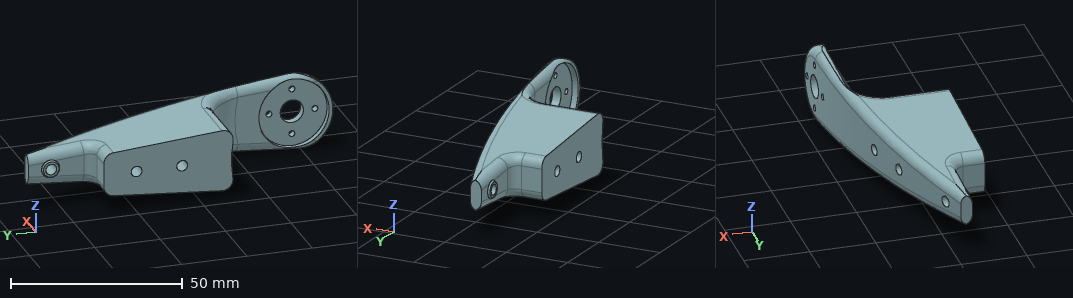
import cadquery as cq
import math

length = 99.0
depth = 32.4
end_radius = 11.93
tip_half_width = 4.9
back_edge_radius = 2.8
inner_edge_radius = 3.2
tip_y = length - end_radius

overrun = 9.9
stock_x = depth + overrun
stock_tip_y = tip_y + overrun
tolerance = 0.01
stock_end_y = -end_radius - overrun

tip_back_x = 13.2
back_drop = depth - tip_back_x
back_radius = (length**2 + back_drop**2) / (2 * back_drop)

tip_face_x = 9.6
end_face_x = 27.4
block_tip_y = tip_y - 20.0
block_end_y = tip_y - 59.1
tip_corner_radius = 3.0
end_corner_radius = 9.9
end_notch_radius = 41.6

seat_diameter = 21.5
seat_depth = 2.0
bore_diameter = 7.0
pin_hole_diameter = 1.8
pin_circle_radius = 7.0

screw_hole_diameter = 3.3
screw_hole_ys = (tip_y - 30.0, tip_y - 43.9)
boss_y = tip_y - 6.8
boss_diameter = 5.5
boss_top_diameter = 4.8
boss_height = 0.6

tip_distance = math.hypot(tip_y, tip_half_width)
tangent_angle = math.atan2(tip_half_width, tip_y) + math.acos(end_radius / tip_distance)
tangent_y = end_radius * math.cos(tangent_angle)
tangent_z = end_radius * math.sin(tangent_angle)
side_slope = (tangent_z - tip_half_width) / (tip_y - tangent_y)


def x_cylinder(diameter, y, z=0.0, start_x=0.0, height=stock_x):
    """Cylinder along X, starting at start_x."""
    return cq.Workplane("YZ", origin=(start_x, y, z)).circle(diameter / 2).extrude(height)


def half_width(y):
    """Half of the arm's tapered width at a place along Y."""
    return tip_half_width + side_slope * (tip_y - y)


def tapered_prism(start_y):
    """Straight-sided tapered outline from start_y to beyond the tip, as a prism along X."""
    start_z = half_width(start_y)
    stop_z = half_width(stock_tip_y)
    return (
        cq.Workplane("YZ")
        .polyline([(start_y, -start_z), (start_y, start_z), (stock_tip_y, stop_z), (stock_tip_y, -stop_z)])
        .close()
        .extrude(stock_x)
    )


def back_x(y):
    """X of the curved back at a place along Y; it is highest at the round end."""
    return depth - back_radius + math.sqrt(back_radius**2 - (y + end_radius) ** 2)


def back_shape():
    """Round-ended arm with the curved back and its rounded rim."""
    outline = tapered_prism(tangent_y).union(x_cylinder(2 * end_radius, 0))
    below_back = (
        cq.Workplane("XY")
        .moveTo(0, stock_tip_y)
        .lineTo(back_x(stock_tip_y), stock_tip_y)
        .threePointArc((back_x(0), 0), (back_x(stock_end_y), stock_end_y))
        .lineTo(0, stock_end_y)
        .close()
        .extrude(2 * end_radius, both=True)
    )
    body = outline.intersect(below_back)
    back_face = body.faces(cq.selectors.NearestToPointSelector((back_x(tip_y / 2), tip_y / 2, 0)))
    rim = [edge for edge in back_face.edges().vals() if edge.Center().y < tip_y]
    return body.newObject(rim).fillet(back_edge_radius)


def tip_notch():
    """Space beside the block on the tip side, with a rounded inner corner."""
    notch_length = stock_tip_y + overrun - block_tip_y
    return (
        cq.Workplane("XY")
        .box(tip_face_x + overrun, notch_length, 4 * end_radius, centered=(False, False, True))
        .translate((-overrun, block_tip_y, 0))
        .edges(">X and <Y")
        .fillet(tip_corner_radius)
    )


def end_notch():
    """Large cylindrical space beside the block on the round-end side, with a rounded rim."""
    return (
        x_cylinder(2 * end_notch_radius, block_end_y - end_notch_radius, 0, -overrun, end_face_x + overrun)
        .edges(">X")
        .fillet(end_corner_radius)
    )


def inner_shape():
    """Tapered stock with the stepped inner side, rounded along the step's two edges."""
    body = tapered_prism(stock_end_y).cut(tip_notch()).cut(end_notch())

    def borders_side(edge):
        middle = edge.positionAt(0.5)
        on_side = abs(abs(middle.z) - half_width(middle.y)) < tolerance
        on_step = tolerance < middle.x < end_face_x + tolerance
        between_ends = stock_end_y + tolerance < middle.y < stock_tip_y - tolerance
        return on_side and on_step and between_ends

    step_edges = [edge for edge in body.edges().vals() if borders_side(edge)]
    return body.newObject(step_edges).fillet(inner_edge_radius)


def boss():
    """Low tapered boss on the tip face, sunk a little into the rounded edges."""
    cone = (
        cq.Workplane("YZ", origin=(tip_face_x, boss_y, 0))
        .circle(boss_diameter / 2)
        .workplane(offset=-boss_height)
        .circle(boss_top_diameter / 2)
        .loft()
    )
    return cone.union(x_cylinder(boss_diameter, boss_y, 0, tip_face_x, boss_height))


tip_trim = cq.Workplane("XY").box(stock_x, length, 4 * end_radius).translate(
    (stock_x / 2, tip_y - length / 2, 0)
)
result = back_shape().intersect(inner_shape()).intersect(tip_trim)
result = result.union(boss()).cut(
    x_cylinder(seat_diameter, 0, 0, end_face_x - overrun, overrun + seat_depth)
)
result = result.cut(x_cylinder(bore_diameter, 0))
for y_sign, z_sign in ((1, 0), (-1, 0), (0, 1), (0, -1)):
    result = result.cut(
        x_cylinder(pin_hole_diameter, y_sign * pin_circle_radius, z_sign * pin_circle_radius)
    )
for hole_y in (*screw_hole_ys, boss_y):
    result = result.cut(x_cylinder(screw_hole_diameter, hole_y))